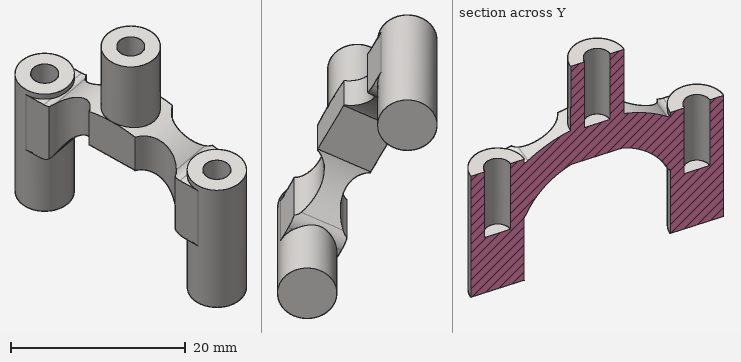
import cadquery as cq
import math

post_diameter = 6.8
bore_diameter = 3.2
bore_depth = 10.0
post_radius = post_diameter / 2
overall_length = 32.13
overall_height = 30.38
side_post_height = 18.5
side_post_x = (overall_length - post_diameter) / 2

web_width = post_diameter
arch_center_z = 6.2
arch_outer_radius = 14.8
arch_inner_radius = 9.72
crown_underside_z = 15.35
end_block_top_z = 17.7
end_block_bottom_z = 9.0
top_corner_radius = 2.0
bottom_corner_radius = 2.0

waist_depth = 2.0
waist_x = side_post_x / 2
waist_half_chord = waist_x - post_radius
waist_radius = (waist_half_chord**2 + waist_depth**2) / (2 * waist_depth)
waist_axis_y = web_width / 2 - waist_depth + waist_radius


def arch_x_at(radius, z):
    """Half width of an arch circle at height z."""
    return math.sqrt(radius**2 - (z - arch_center_z) ** 2)


def arch_z_at(radius, x):
    """Height of an arch circle at distance x from the middle."""
    return arch_center_z + math.sqrt(radius**2 - x**2)


def make_post(x, bottom_z, top_z):
    return cq.Workplane("XY", origin=(x, 0, bottom_z)).circle(post_radius).extrude(top_z - bottom_z)


def make_web():
    """Arch with a flat crown underside and a straight block at each end."""
    top_x = arch_x_at(arch_outer_radius, end_block_top_z)
    bottom_x = arch_x_at(arch_inner_radius, end_block_bottom_z)
    crown_x = arch_x_at(arch_inner_radius, crown_underside_z)
    inner_mid_x = (bottom_x + crown_x) / 2
    inner_mid_z = arch_z_at(arch_inner_radius, inner_mid_x)

    web = (
        cq.Workplane("XZ")
        .moveTo(-side_post_x, end_block_top_z)
        .lineTo(-top_x, end_block_top_z)
        .threePointArc((0, arch_center_z + arch_outer_radius), (top_x, end_block_top_z))
        .lineTo(side_post_x, end_block_top_z)
        .lineTo(side_post_x, end_block_bottom_z)
        .lineTo(bottom_x, end_block_bottom_z)
        .threePointArc((inner_mid_x, inner_mid_z), (crown_x, crown_underside_z))
        .lineTo(-crown_x, crown_underside_z)
        .threePointArc((-inner_mid_x, inner_mid_z), (-bottom_x, end_block_bottom_z))
        .lineTo(-side_post_x, end_block_bottom_z)
        .close()
        .extrude(web_width / 2, both=True)
    )
    for side in (-1, 1):
        top_corner = cq.selectors.NearestToPointSelector((side * top_x, 0, end_block_top_z))
        web = web.edges("|Y").edges(top_corner).fillet(top_corner_radius)
        bottom_corner = cq.selectors.NearestToPointSelector((side * bottom_x, 0, end_block_bottom_z))
        web = web.edges("|Y").edges(bottom_corner).fillet(bottom_corner_radius)
    return web


def cut_waists(web):
    centers = [(sx * waist_x, sy * waist_axis_y) for sx in (-1, 1) for sy in (-1, 1)]
    cutters = cq.Workplane("XY").pushPoints(centers).circle(waist_radius).extrude(overall_height)
    return web.cut(cutters)


def bore_post(body, x, top_z):
    """Blind bore down from the top of a post."""
    bore = cq.Workplane("XY", origin=(x, 0, top_z)).circle(bore_diameter / 2).extrude(-bore_depth)
    return body.cut(bore)


posts = [
    (-side_post_x, 0, side_post_height),
    (0, crown_underside_z, overall_height),
    (side_post_x, 0, side_post_height),
]

result = cut_waists(make_web())
for post_x, post_bottom_z, post_top_z in posts:
    result = result.union(make_post(post_x, post_bottom_z, post_top_z))
    result = bore_post(result, post_x, post_top_z)